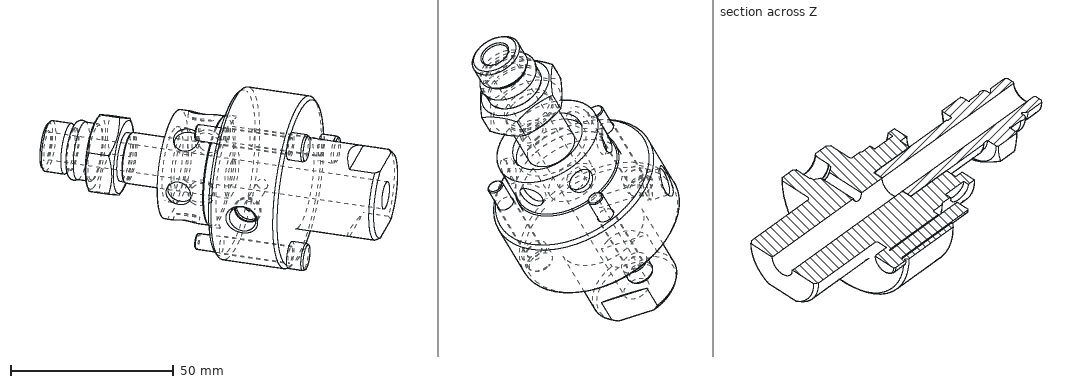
import cadquery as cq
import math

THROUGH_BORE_DIA = 8.5

SHAFT_DIA = 15.9
SHAFT_TIP_DIA = 14.3
SHAFT_TIP_CHAMFER = 0.8
BORE_MOUTH_DIA = 9.4
THREAD_END_X = 7.0
RELIEF_DIA = 13.5
RELIEF_X = 8.3
SEAL_RING_X = 8.6
SEAL_RING_RADIUS = 1.6
SEAL_RING_DIA = 18.7
COLLAR_DIA = 18.0
COLLAR_CHAMFER = 0.4
NECK_DIA = 15.3
HEX_X = 15.8
HEX_LENGTH = 9.0
HEX_ACROSS_FLATS = 23.9
HEX_FACE_DIA = 22.8
HEX_CHAMFER_ANGLE = 30.0
NECK_END_X = 26.5
NECK_TAPER = 0.3

SPIGOT_X = 40.5
SPIGOT_DIA = 34.1
SPIGOT_RECESS_DIA = 23.4
SPIGOT_RECESS_DEPTH = 2.8
PILOT_X = 55.6
PILOT_DIA = 35.0
PILOT_FILLET = 0.4
FLANGE_X = 59.6
FLANGE_END_X = 81.6
FLANGE_DIA = 54.0
FLANGE_CHAMFER = 1.1
TAIL_END_X = 109.0
TAIL_DIA = 28.5
TAIL_FILLET = 0.9
TAIL_CHAMFER_LENGTH = 1.3
TAIL_CHAMFER_DEPTH = 0.9
FLAT_X = 99.6
FLAT_ACROSS = 24.0
FLAT_CUT_MARGIN = 1.1

SHAFT_END_X = FLANGE_X

SPANNER_HOLE_COUNT = 6
SPANNER_HOLE_DIA = 8.0
SPANNER_HOLE_X = 47.4
SPANNER_HOLE_DEPTH = 2.0

PORT_X = (FLANGE_X + FLANGE_END_X) / 2
PORT_DIA = 8.5
PORT_MOUTH_DIA = 10.2
PORT_DEPTH = 6.5
PORT_CORE_DIA = 7.8
PORT_CORE_DEPTH = 7.6
PORT_DRILL_DIA = 3.5
PORT_POINT_ANGLE = 118.0

SCREW_COUNT = 3
SCREW_CIRCLE_RADIUS = 22.5
SCREW_TIP_X = 51.6
SCREW_HOLE_DIA = 5.5
SCREW_DIA = 5.0
SCREW_TIP_CHAMFER = 0.3
HEAD_DIA = 8.5
HEAD_LENGTH = 5.2
HEAD_CHAMFER_LENGTH = 0.7
HEAD_CHAMFER_DEPTH = 0.3


def revolve_about_x(profile):
    return profile.close().revolve(360, (0, 0, 0), (1, 0, 0))


def cylinder_along_x(diameter, start_x, end_x, y=0.0, z=0.0):
    plane = cq.Workplane("YZ", origin=(start_x, y, z))
    return plane.circle(diameter / 2).extrude(end_x - start_x)


def make_turned_shaft():
    relief_radius = RELIEF_DIA / 2
    ring_crown_radius = SEAL_RING_DIA / 2
    ring_center_x = SEAL_RING_X + SEAL_RING_RADIUS
    ring_center_radius = ring_crown_radius - SEAL_RING_RADIUS
    collar_radius = COLLAR_DIA / 2
    ring_end_x = ring_center_x + math.sqrt(
        SEAL_RING_RADIUS**2 - (collar_radius - ring_center_radius) ** 2
    )
    mouth_depth = (BORE_MOUTH_DIA - THROUGH_BORE_DIA) / 2
    profile = (
        cq.Workplane("XY")
        .moveTo(0, BORE_MOUTH_DIA / 2)
        .lineTo(0, SHAFT_TIP_DIA / 2)
        .lineTo(SHAFT_TIP_CHAMFER, SHAFT_DIA / 2)
        .lineTo(THREAD_END_X, SHAFT_DIA / 2)
        .lineTo(RELIEF_X, relief_radius)
        .lineTo(SEAL_RING_X, relief_radius)
        .lineTo(SEAL_RING_X, ring_center_radius)
        .threePointArc((ring_center_x, ring_crown_radius), (ring_end_x, collar_radius))
        .lineTo(HEX_X - COLLAR_CHAMFER, collar_radius)
        .lineTo(HEX_X, collar_radius - COLLAR_CHAMFER)
        .lineTo(HEX_X, NECK_DIA / 2)
        .lineTo(NECK_END_X, NECK_DIA / 2)
        .lineTo(NECK_END_X + NECK_TAPER, SHAFT_DIA / 2)
        .lineTo(SHAFT_END_X, SHAFT_DIA / 2)
        .lineTo(SHAFT_END_X, THROUGH_BORE_DIA / 2)
        .lineTo(mouth_depth, THROUGH_BORE_DIA / 2)
    )
    return revolve_about_x(profile)


def make_hexagon():
    """Hexagon with corners at +Z and -Z, its ends chamfered by a cone, bored for the neck."""
    corner_radius = HEX_ACROSS_FLATS / math.sqrt(3)
    face_radius = HEX_FACE_DIA / 2
    chamfer_length = (corner_radius - face_radius) * math.tan(math.radians(HEX_CHAMFER_ANGLE))
    end_x = HEX_X + HEX_LENGTH
    prism = (
        cq.Workplane("YZ", origin=(HEX_X, 0, 0))
        .polygon(6, 2 * corner_radius)
        .extrude(HEX_LENGTH)
        .rotate((0, 0, 0), (1, 0, 0), 90)
    )
    envelope = (
        cq.Workplane("XY")
        .moveTo(HEX_X, 0)
        .lineTo(HEX_X, face_radius)
        .lineTo(HEX_X + chamfer_length, corner_radius)
        .lineTo(end_x - chamfer_length, corner_radius)
        .lineTo(end_x, face_radius)
        .lineTo(end_x, 0)
    )
    neck = cylinder_along_x(NECK_DIA, HEX_X, end_x)
    return prism.intersect(revolve_about_x(envelope)).cut(neck)


def make_shaft():
    return make_turned_shaft().union(make_hexagon())


def make_turned_housing():
    pilot_step = (PILOT_DIA - SPIGOT_DIA) / 2
    recess_floor_x = SPIGOT_X + SPIGOT_RECESS_DEPTH
    profile = (
        cq.Workplane("XY")
        .moveTo(SPIGOT_X, SPIGOT_RECESS_DIA / 2)
        .lineTo(SPIGOT_X, SPIGOT_DIA / 2)
        .lineTo(PILOT_X - pilot_step, SPIGOT_DIA / 2)
        .lineTo(PILOT_X, PILOT_DIA / 2)
        .lineTo(FLANGE_X - PILOT_FILLET, PILOT_DIA / 2)
        .radiusArc((FLANGE_X, PILOT_DIA / 2 + PILOT_FILLET), -PILOT_FILLET)
        .lineTo(FLANGE_X, FLANGE_DIA / 2 - FLANGE_CHAMFER)
        .lineTo(FLANGE_X + FLANGE_CHAMFER, FLANGE_DIA / 2)
        .lineTo(FLANGE_END_X - FLANGE_CHAMFER, FLANGE_DIA / 2)
        .lineTo(FLANGE_END_X, FLANGE_DIA / 2 - FLANGE_CHAMFER)
        .lineTo(FLANGE_END_X, TAIL_DIA / 2 + TAIL_FILLET)
        .radiusArc((FLANGE_END_X + TAIL_FILLET, TAIL_DIA / 2), -TAIL_FILLET)
        .lineTo(TAIL_END_X - TAIL_CHAMFER_LENGTH, TAIL_DIA / 2)
        .lineTo(TAIL_END_X, TAIL_DIA / 2 - TAIL_CHAMFER_DEPTH)
        .lineTo(TAIL_END_X, THROUGH_BORE_DIA / 2)
        .lineTo(SHAFT_END_X, THROUGH_BORE_DIA / 2)
        .lineTo(SHAFT_END_X, SHAFT_DIA / 2)
        .lineTo(recess_floor_x, SHAFT_DIA / 2)
        .lineTo(recess_floor_x, SPIGOT_RECESS_DIA / 2)
    )
    return revolve_about_x(profile)


def make_flat_cutter():
    """Wedge above the top flat, with a 45 degree run-out towards the flange."""
    flat_z = FLAT_ACROSS / 2
    height = TAIL_DIA / 2 - flat_z + FLAT_CUT_MARGIN
    return (
        cq.Workplane("XZ")
        .moveTo(FLAT_X, flat_z)
        .lineTo(TAIL_END_X, flat_z)
        .lineTo(TAIL_END_X, flat_z + height)
        .lineTo(FLAT_X - height, flat_z + height)
        .close()
        .extrude(TAIL_DIA / 2, both=True)
    )


def make_spanner_holes():
    """Radial holes that all end on one cylinder about the X axis."""
    floor_dia = SPIGOT_DIA - 2 * SPANNER_HOLE_DEPTH
    core = cylinder_along_x(
        floor_dia, SPANNER_HOLE_X - SPANNER_HOLE_DIA, SPANNER_HOLE_X + SPANNER_HOLE_DIA
    )
    first = (
        cq.Workplane("XZ", origin=(SPANNER_HOLE_X, 0, 0))
        .circle(SPANNER_HOLE_DIA / 2)
        .extrude(SPIGOT_DIA / 2)
        .cut(core)
    )
    step = 360 / SPANNER_HOLE_COUNT
    return [first.rotate((0, 0, 0), (1, 0, 0), i * step) for i in range(SPANNER_HOLE_COUNT)]


def make_port():
    """Countersunk, stepped port with a drill-point bottom, drilled on into the through bore."""
    outer_y = -FLANGE_DIA / 2
    mouth_depth = (PORT_MOUTH_DIA - PORT_DIA) / 2
    floor_y = outer_y + PORT_CORE_DEPTH
    point_slope = math.tan(math.radians(PORT_POINT_ANGLE / 2))
    drill_y = floor_y + (PORT_CORE_DIA - PORT_DRILL_DIA) / 2 / point_slope
    return (
        cq.Workplane("XY", origin=(PORT_X, 0, 0))
        .moveTo(0, outer_y)
        .lineTo(PORT_MOUTH_DIA / 2, outer_y)
        .lineTo(PORT_DIA / 2, outer_y + mouth_depth)
        .lineTo(PORT_DIA / 2, outer_y + PORT_DEPTH)
        .lineTo(PORT_CORE_DIA / 2, outer_y + PORT_DEPTH)
        .lineTo(PORT_CORE_DIA / 2, floor_y)
        .lineTo(PORT_DRILL_DIA / 2, drill_y)
        .lineTo(PORT_DRILL_DIA / 2, 0)
        .lineTo(0, 0)
        .close()
        .revolve(360, (0, 0, 0), (0, 1, 0))
    )


def make_screw(y, z):
    """Screw with its head against the back of the flange and its tip standing out in front."""
    shank = cylinder_along_x(SCREW_DIA, SCREW_TIP_X, FLANGE_END_X, y, z)
    shank = shank.faces("<X").chamfer(SCREW_TIP_CHAMFER)
    head = cylinder_along_x(HEAD_DIA, FLANGE_END_X, FLANGE_END_X + HEAD_LENGTH, y, z)
    head = head.faces(">X").chamfer(HEAD_CHAMFER_LENGTH, HEAD_CHAMFER_DEPTH)
    return shank.union(head)


def make_housing():
    body = make_turned_housing()
    top_cutter = make_flat_cutter()
    body = body.cut(top_cutter).cut(top_cutter.mirror("XY"))
    for hole in make_spanner_holes():
        body = body.cut(hole)
    body = body.cut(make_port())
    for i in range(SCREW_COUNT):
        angle = 2 * math.pi * i / SCREW_COUNT
        y = SCREW_CIRCLE_RADIUS * math.cos(angle)
        z = SCREW_CIRCLE_RADIUS * math.sin(angle)
        clearance_hole = cylinder_along_x(SCREW_HOLE_DIA, FLANGE_X, FLANGE_END_X, y, z)
        body = body.cut(clearance_hole).union(make_screw(y, z))
    return body


shaft = make_shaft()
housing = make_housing()

result = cq.Compound.makeCompound([shaft.val(), housing.val()])